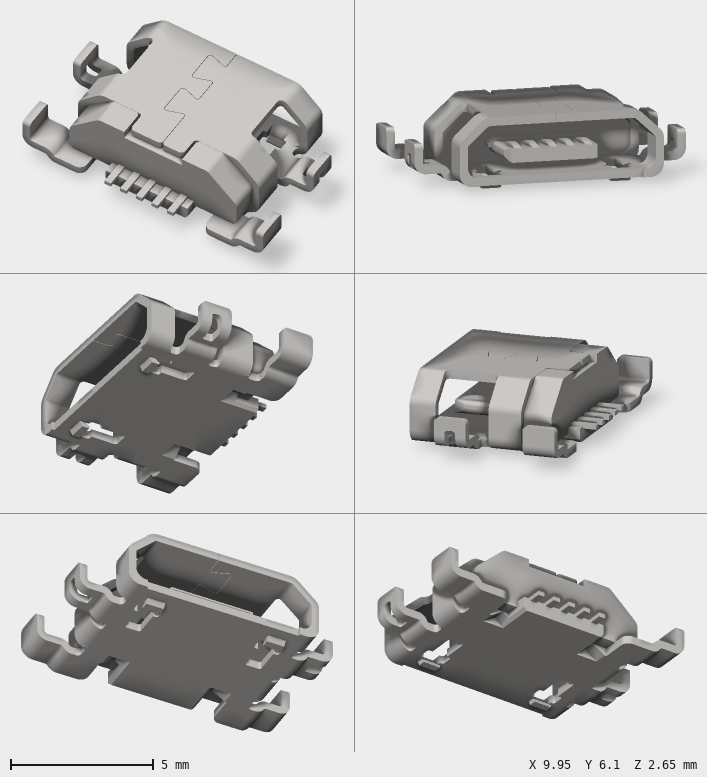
import cadquery as cq
import math


overlap = 0.1

shell_half_width = 3.74
shell_height = 2.45
shell_depth = 4.15
sheet = 0.31
side_wall = 0.3
plate_bottom = shell_height - sheet
plate_middle = shell_height - sheet / 2
shell_bevel_x = 2.8
shell_bevel_z = 1.57
shell_top_bend = 0.5
shell_side_bend = 0.4
shell_floor_bend = 0.47
inner_floor_bend = 0.38
mouth_setback = 0.1
mouth_setback_half_width = 2.985

window_front = 0.97
window_rear = 2.94
window_top_x = 2.59
floor_half_width = 3.29
notch_corner = 0.15
window_corner = 0.18

tail_half_width = 1.09
tail_rear = 4.96
tail_corner = 0.18
tail_root_radius = 0.12
seam_x = 0.22
seam_gap = 0.02
seam_corner = 0.1
seam_end_radius = 0.15
key_tip_x = -0.59
key_first_depth = 0.5
key_pitch = 1.81
key_count = 2
key_tip_length = 1.26
key_flare = 0.27

foot_tip_x = 4.975
foot_top = 1.37
foot_step_start_x = 3.6
foot_step_end_x = 4.05
foot_step_bend = 0.09
foot_outer_bend = 0.43
foot_inner_bend = 0.12
foot_corner = 0.16
front_foot_front = 1.35
front_foot_rear = 2.54
front_foot_lift = 0.29
rear_foot_front = 4.65
rear_foot_rear = 5.85
rear_foot_lift = 0.25
rear_leg_inner_x = 2.49
rear_leg_corner = 0.3
foot_slot_width = 0.41
foot_slot_inner_x = 4.26
foot_slot_top = 0.96
foot_slot_inner_corner = 0.08
foot_slot_top_corner = 0.14

latch_x = 2.37
latch_width = 0.69
latch_root = 0.43
latch_curve_middle = (-0.63, 0.22)
latch_crease = (-0.76, 0)
latch_tip_upper = (-0.97, -0.12)
latch_tip_lower = (-0.94, -0.2)
latch_heel_lower = (-0.66, -0.2)
latch_heel_upper = (-0.56, 0)
relief_width = 0.98
relief_front = 0.93
relief_rear = 1.42
relief_corner = 0.09
tail_slot_width = 0.62
tail_slot_rear = 2.43

housing_half_width = 3.45
housing_front = 3.08
housing_rear = 5.17
housing_top = 2.44
housing_bevel_x = 2.25
housing_bevel_z = 1.37
housing_top_bend = 0.28
housing_side_bend = 0.35
housing_floor_bend = 0.22
recess_half_width = 1.19
recess_flare = 0.16
block_half_width = 1.69
block_top = 0.53
block_rear = 5.6
block_chamfer = 0.12
groove_inner_x = 1.54
groove_apex_x = 1.92
groove_outer_x = 2.42

tongue_half_width = 1.72
tongue_bottom = 0.61
tongue_top = 1.09
tongue_front = 0.9
tongue_lead_in_x = 0.13
tongue_lead_in_depth = 0.4
tongue_lower_round = 0.26
tongue_upper_round = 0.14
collar_half_width = 1.84
collar_front = 2.7
collar_top = 1.21
collar_chamfer = 0.25

contact_count = 5
contact_pitch = 0.65
contact_width = 0.26
contact_bottom = 0.46
contact_top = 0.62
contact_end = 6.1
bump_front = 0.97
bump_rear = 2.29
bump_height = 0.12


def box(x_min, x_max, front, rear, z_min, z_max):
    """Block between two X values, two depths behind the mouth and two heights."""
    return cq.Workplane("XY").box(
        x_max - x_min, rear - front, z_max - z_min, centered=False
    ).translate((x_min, -rear, z_min))


def both_sides(body):
    """The body together with its mirror image across X = 0."""
    return body.union(body.mirror("YZ"))


def round_at(body, direction, x, y, z, radius, reach=0.04):
    """Fillet the edges of one direction whose middles lie close to a point."""
    near = cq.selectors.BoxSelector(
        (x - reach, y - reach, z - reach), (x + reach, y + reach, z + reach), boundingbox=False
    )
    return body.newObject(body.edges(direction).edges(near).vals()).fillet(radius)


def bevelled_prism(half_width, bottom, top, bevel_x, bevel_z, front, rear, radii):
    """Prism along Y whose six-sided section has bevelled, rounded upper corners."""
    top_bend, side_bend, floor_bend = radii
    outline = [
        (-half_width, bottom), (half_width, bottom), (half_width, bevel_z),
        (bevel_x, top), (-bevel_x, top), (-half_width, bevel_z),
    ]
    prism = cq.Workplane("XZ", origin=(0, -front, 0)).polyline(outline).close().extrude(rear - front)
    mid = -(front + rear) / 2
    for side in (-1, 1):
        prism = round_at(prism, "|Y", side * bevel_x, mid, top, top_bend)
        prism = round_at(prism, "|Y", side * half_width, mid, bevel_z, side_bend)
        prism = round_at(prism, "|Y", side * half_width, mid, bottom, floor_bend)
    return prism


def seam_cut():
    """Narrow dovetailed gap through the top plate."""
    far = 2 * shell_half_width
    points = [(far, far), (seam_x, far)]
    for number in range(key_count):
        start = key_first_depth + number * key_pitch
        end = start + key_tip_length
        points += [
            (seam_x, -start - key_flare), (key_tip_x, -start),
            (key_tip_x, -end), (seam_x, -end + key_flare),
        ]
    points += [(seam_x, -far), (far, -far)]
    cut_height = sheet + 2 * overlap
    right_half = (
        cq.Workplane("XY", origin=(0, 0, plate_bottom - overlap))
        .polyline(points).close().extrude(cut_height)
    )
    over_shell = cq.selectors.BoxSelector(
        (-shell_half_width, -shell_depth, 0), (shell_half_width, 0, 2 * shell_height)
    )
    key_corners = right_half.edges("|Z").edges(over_shell).vals()
    right_half = right_half.newObject(key_corners).fillet(seam_corner)
    widened = right_half.faces("<Z").wires().toPending().offset2D(seam_gap).extrude(cut_height)
    return widened.cut(right_half)


def floor_notch(front, rear):
    """Right-hand relief beside a foot, with rounded inner corners."""
    notch = box(floor_half_width, foot_tip_x, front, rear, 0, sheet)
    return notch.edges("|Z and <X").fillet(notch_corner)


def shell_body():
    """Bent tube with side windows, top tail and seam."""
    tube = bevelled_prism(
        shell_half_width, 0, shell_height, shell_bevel_x, shell_bevel_z, 0, shell_depth,
        (shell_top_bend, shell_side_bend, shell_floor_bend),
    )
    bevel_angle = math.atan2(shell_height - shell_bevel_z, shell_half_width - shell_bevel_x)
    bevel_x_shift = side_wall * math.tan(bevel_angle / 2)
    bevel_z_shift = side_wall * math.tan((math.pi / 2 - bevel_angle) / 2)
    cavity = bevelled_prism(
        shell_half_width - side_wall, sheet, plate_bottom,
        shell_bevel_x - bevel_x_shift, shell_bevel_z - bevel_z_shift, 0, shell_depth,
        (shell_top_bend - side_wall, shell_side_bend - side_wall, inner_floor_bend),
    )
    body = tube.cut(cavity)

    far = shell_half_width + overlap
    upper = box(window_top_x, far, window_front, window_rear, sheet, shell_height)
    upper = upper.edges("|Z and <X").fillet(window_corner)
    lower = box(floor_half_width, far, front_foot_front, front_foot_rear, 0, sheet)
    lower = lower.union(floor_notch(window_front, front_foot_front))
    lower = lower.union(floor_notch(front_foot_rear, window_rear))
    body = body.cut(both_sides(upper.union(lower)))
    body = body.cut(box(-mouth_setback_half_width, mouth_setback_half_width, 0, mouth_setback, 0, sheet))

    tail = box(-tail_half_width, tail_half_width, shell_depth - overlap, tail_rear, plate_bottom, shell_height)
    body = body.union(tail.edges("|Z and <Y").fillet(tail_corner))
    for side in (-1, 1):
        body = round_at(body, "|Z", side * tail_half_width, -shell_depth, plate_middle, tail_root_radius)
    body = body.cut(seam_cut())
    return round_at(body, "|Z", seam_x, -tail_rear, plate_middle, seam_end_radius)


def foot(front, rear, lift):
    """Right-hand gull-wing foot: two-bend step up from the floor, then a vertical flange."""
    flange_inner_x = foot_tip_x - sheet
    mid = -(front + rear) / 2
    step_length = foot_step_end_x - foot_step_start_x
    angle = 2 * math.atan(lift / step_length)
    crest_bend = step_length / math.sin(angle) - foot_step_bend
    first_center = (foot_step_start_x, sheet + foot_step_bend)
    second_center = (foot_step_end_x, lift + sheet - crest_bend)

    def on_first(radius, turn):
        return (
            first_center[0] + radius * math.sin(turn),
            first_center[1] - radius * math.cos(turn),
        )

    def on_second(radius, turn):
        return (
            second_center[0] - radius * math.sin(turn),
            second_center[1] + radius * math.cos(turn),
        )

    first_outer = foot_step_bend + sheet
    second_inner = crest_bend - sheet
    body = (
        cq.Workplane("XZ", origin=(0, -front, 0))
        .moveTo(floor_half_width, 0)
        .lineTo(foot_step_start_x, 0)
        .threePointArc(on_first(first_outer, angle / 2), on_first(first_outer, angle))
        .threePointArc(on_second(second_inner, angle / 2), on_second(second_inner, 0))
        .lineTo(foot_tip_x, lift)
        .lineTo(foot_tip_x, foot_top)
        .lineTo(flange_inner_x, foot_top)
        .lineTo(flange_inner_x, lift + sheet)
        .lineTo(foot_step_end_x, lift + sheet)
        .threePointArc(on_second(crest_bend, angle / 2), on_second(crest_bend, angle))
        .threePointArc(on_first(foot_step_bend, angle / 2), on_first(foot_step_bend, 0))
        .lineTo(floor_half_width, sheet)
        .close()
        .extrude(rear - front)
    )
    body = round_at(body, "|Y", foot_tip_x, mid, lift, foot_outer_bend)
    body = round_at(body, "|Y", flange_inner_x, mid, lift + sheet, foot_inner_bend)
    for depth in (front, rear):
        body = round_at(body, "|X", foot_tip_x - sheet / 2, -depth, foot_top, foot_corner)
    return body


def front_foot():
    """Foot under the window, with a slot running through its outer bend."""
    middle = (front_foot_front + front_foot_rear) / 2
    slot = box(
        foot_slot_inner_x, foot_tip_x + overlap,
        middle - foot_slot_width / 2, middle + foot_slot_width / 2, 0, foot_slot_top,
    )
    slot = slot.edges("|Z and <X").fillet(foot_slot_inner_corner)
    slot = slot.edges("|X and >Z").fillet(foot_slot_top_corner)
    return foot(front_foot_front, front_foot_rear, front_foot_lift).cut(slot)


def rear_foot():
    """Foot behind the shell, carried by a flat leg that continues the floor."""
    leg_outer_x = floor_half_width + notch_corner
    leg = box(rear_leg_inner_x, leg_outer_x, shell_depth - overlap, rear_foot_rear, 0, sheet)
    leg = leg.edges("|Z and <X and <Y").fillet(rear_leg_corner)
    leg = leg.cut(floor_notch(shell_depth, rear_foot_front))
    return foot(rear_foot_front, rear_foot_rear, rear_foot_lift).union(leg)


def latch_opening():
    """Stepped hole in the floor around and behind the latch spring."""
    def opening(width, front, rear):
        return box(latch_x - width / 2, latch_x + width / 2, front, rear, 0, sheet)

    relief = opening(relief_width, relief_front, relief_rear).edges("|Z").fillet(relief_corner)
    tail_slot = opening(tail_slot_width, relief_rear - overlap, tail_slot_rear)
    tail_slot = tail_slot.edges("|Z and <Y").fillet(relief_corner)
    return opening(latch_width, latch_root, relief_front + overlap).union(relief).union(tail_slot)


def latch_spring():
    """Tongue of floor sheet that curves down below the floor."""
    return (
        cq.Workplane("YZ", origin=(latch_x - latch_width / 2, 0, 0))
        .moveTo(-latch_root + overlap, 0)
        .lineTo(-latch_root + overlap, sheet)
        .lineTo(-latch_root, sheet)
        .threePointArc(latch_curve_middle, latch_crease)
        .lineTo(*latch_tip_upper)
        .lineTo(*latch_tip_lower)
        .lineTo(*latch_heel_lower)
        .lineTo(*latch_heel_upper)
        .close()
        .extrude(latch_width)
    )


def housing():
    """Moulded rear closure with a top recess, a lower rear block and a grooved filler."""
    body = bevelled_prism(
        housing_half_width, sheet, housing_top, housing_bevel_x, housing_bevel_z,
        housing_front, housing_rear, (housing_top_bend, housing_side_bend, housing_floor_bend),
    )
    under_plate = box(
        -shell_half_width, shell_half_width, housing_front, shell_depth, plate_bottom, shell_height
    )
    recess = box(
        -recess_half_width, recess_half_width, shell_depth - overlap, housing_rear, plate_bottom, shell_height
    )
    opening = under_plate.union(recess)
    for side in (-1, 1):
        opening = round_at(
            opening, "|Z", side * recess_half_width, -shell_depth, plate_middle, recess_flare
        )
    block = box(-block_half_width, block_half_width, shell_depth - overlap, block_rear, 0, block_top)
    block = block.edges("|Y and <Z").chamfer(block_chamfer)
    filler = box(
        -rear_leg_inner_x, rear_leg_inner_x, shell_depth - overlap, rear_foot_front, 0, sheet
    )
    groove = (
        cq.Workplane("XZ", origin=(0, -shell_depth, 0))
        .polyline([(groove_inner_x, 0), (groove_apex_x, sheet), (groove_outer_x, 0)])
        .close().extrude(rear_foot_front - shell_depth)
    )
    return body.cut(opening).union(filler.cut(both_sides(groove))).union(block)


def tongue():
    """Contact-carrying tongue with rounded sides, tapered lead-in and a collar at its root."""
    edge = tongue_half_width
    body = box(-edge, edge, tongue_front, housing_front + overlap, tongue_bottom, tongue_top)
    body = body.edges("|Y and <Z").fillet(tongue_lower_round)
    body = body.edges("|Y and >Z").fillet(tongue_upper_round)
    lead_in = (
        cq.Workplane("XY")
        .polyline([
            (edge - tongue_lead_in_x, -tongue_front), (edge, -tongue_front),
            (edge, -tongue_front - tongue_lead_in_depth),
        ])
        .close().extrude(shell_height)
    )
    collar = box(
        -collar_half_width, collar_half_width, collar_front, housing_front + overlap,
        tongue_bottom + tongue_lower_round, collar_top,
    )
    collar = collar.edges("|Y and >Z").chamfer(collar_chamfer)
    return body.cut(both_sides(lead_in)).union(collar)


def contact():
    """One contact: a shallow bump on the tongue and a straight solder tail behind the housing."""
    half = contact_width / 2
    tail = box(-half, half, housing_rear - overlap, contact_end, contact_bottom, contact_top)
    bump = (
        cq.Workplane("YZ", origin=(-half, 0, 0))
        .moveTo(-bump_front, tongue_top - overlap)
        .lineTo(-bump_front, tongue_top)
        .threePointArc((-(bump_front + bump_rear) / 2, tongue_top + bump_height), (-bump_rear, tongue_top))
        .lineTo(-bump_rear, tongue_top - overlap)
        .close().extrude(contact_width)
    )
    return tail.union(bump)


result = shell_body().cut(both_sides(latch_opening()))
for pair in (latch_spring(), front_foot(), rear_foot()):
    result = result.union(both_sides(pair))
result = result.union(housing()).union(tongue())
for number in range(contact_count):
    contact_x = (number - (contact_count - 1) / 2) * contact_pitch
    result = result.union(contact().translate((contact_x, 0, 0)))